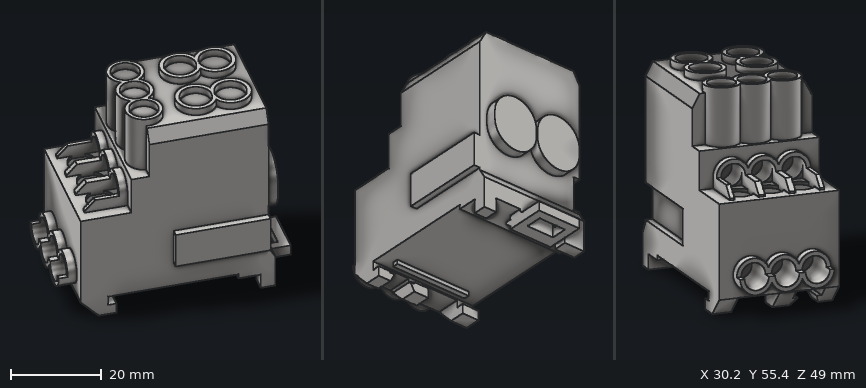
import cadquery as cq


BODY_WIDTH = 28.55
BACK_Y = 43.15
FLANGE_BACK_Y = 44.7
TOP_Z = 47.25
STEP_Y = 15.8
UPPER_LEDGE_Z = 35.4
MIDDLE_WALL_Y = 11.65
LOWER_LEDGE_Z = 26.4
TOP_CHAMFER_WIDTH = 1.8
TOP_CHAMFER_HEIGHT = 3.2

UNDERSIDE_Z = 4.7
FOOT_CHAMFER_Z = 4.4
FOOT_TIP_Y = 4.15
HOOK_TIP_Y = 8.25
HOOK_ROOT_Y = 6.3
HOOK_TOP_Z = 2.5
PAD_Z = 3.6
PAD_FRONT_Y = 36.25
REAR_FOOT_FRONT_Y = 41.35
FLANGE_SLOPE_BOTTOM_Z = 7.85
FLANGE_SLOPE_TOP_Z = 10.4

LEFT_FOOT_INNER_X = -9.75
MIDDLE_FOOT_LEFT_X = 0.05
MIDDLE_FOOT_RIGHT_X = 4.1
RIGHT_FOOT_INNER_X = 10.9
REAR_LEFT_FOOT_INNER_X = -8.75
BARB_REACH = 1.15
BARB_HEIGHT = 2.15
BAR_RIGHT_X = 10.6
BAR_FRONT_Y = 8.8
BAR_BACK_Y = 10.25

LATCH_LEFT_X = -7.4
LATCH_RIGHT_X = 4.05
LATCH_BACK_Y = 51.25
LATCH_RAMP_Z = 3.05
LATCH_NOSE_Y = 39.95
LATCH_NOSE_TOP_Z = 1.95
LATCH_NOSE_BOTTOM_Z = 0.8
LATCH_WINDOW_BACK_Y = 48.85
LATCH_ARM_WIDTH = 2.1

TAB_THICKNESS = 1.65
TAB_FRONT_Y = 21.35
TAB_BOTTOM_Z = 11.0
TAB_TOP_Z = 19.55

TERMINAL_CENTER_X = 0.2
TERMINAL_PITCH = 7.25
TERMINAL_XS = [TERMINAL_CENTER_X + i * TERMINAL_PITCH for i in (-1, 0, 1)]
BORE_RADIUS = 2.9
SLEEVE_RADIUS = 3.95

LOWER_BORE_Z = 9.8
LOWER_COLLAR_LENGTH = 2.1
LOWER_LIP_LENGTH = 4.15
LOWER_BORE_DEPTH = 9.95

UPPER_BORE_Z = 29.35
UPPER_COLLAR_LENGTH = 1.95
UPPER_BORE_DEPTH = 7.75

RIB_TIP_Y = 1.8
RIB_SLOPE_Y = 4.15
RIB_TIP_Z = 26.85
WELL_RADIUS = 3.25
WELL_Y = 6.6
WELL_DEPTH = 0.8

TUBE_TOP_Z = 49.05
FRONT_TUBE_Y = 16.5
FRONT_TUBE_RADIUS = 4.2
FRONT_TUBE_BORE_RADIUS = 3.25
REAR_TUBE_RADIUS = 4.65
REAR_TUBE_BORE_RADIUS = 3.6
REAR_TUBE_FRONT_Y = 28.75
REAR_TUBE_PITCH_Y = 8.0
REAR_TUBE_PITCH_X = 12.25
REAR_TUBE_XS = [TERMINAL_CENTER_X + side * REAR_TUBE_PITCH_X / 2 for side in (-1, 1)]

BACK_BOSS_RADIUS = 5.95
BACK_BOSS_HEIGHT = 13.85
BACK_BOSS_BOTTOM_Z = 17.45
BACK_BOSS_LENGTH = 2.75

LEFT_X = -BODY_WIDTH / 2
RIGHT_X = BODY_WIDTH / 2


def block(x0, x1, y0, y1, z0, z1):
    """Box given by its limits along each axis."""
    return cq.Workplane("XY").box(x1 - x0, y1 - y0, z1 - z0, centered=False).translate((x0, y0, z0))


def side_profile(points, x0, x1):
    """Prism of a (y, z) outline between two X positions."""
    return cq.Workplane("YZ").polyline(points).close().extrude(x1 - x0).translate((x0, 0, 0))


def front_profile(points, y0, y1):
    """Prism of an (x, z) outline between two Y positions."""
    return cq.Workplane("XZ").polyline(points).close().extrude(y0 - y1).translate((0, y0, 0))


def rod_along_y(x, z, radius, y0, y1):
    return cq.Workplane("XZ").center(x, z).circle(radius).extrude(y0 - y1).translate((0, y0, 0))


def rod_along_z(x, y, radius, z0, z1):
    return cq.Workplane("XY").center(x, y).circle(radius).extrude(z1 - z0).translate((0, 0, z0))


def merged(shapes):
    total = shapes[0]
    for shape in shapes[1:]:
        total = total.union(shape)
    return total


def make_body():
    body = side_profile(
        [
            (FOOT_TIP_Y, 0),
            (0, FOOT_CHAMFER_Z),
            (0, LOWER_LEDGE_Z),
            (MIDDLE_WALL_Y, LOWER_LEDGE_Z),
            (MIDDLE_WALL_Y, UPPER_LEDGE_Z),
            (STEP_Y, UPPER_LEDGE_Z),
            (STEP_Y, TOP_Z),
            (BACK_Y, TOP_Z),
            (BACK_Y, FLANGE_SLOPE_TOP_Z),
            (FLANGE_BACK_Y, FLANGE_SLOPE_BOTTOM_Z),
            (FLANGE_BACK_Y, 0),
            (REAR_FOOT_FRONT_Y, 0),
            (REAR_FOOT_FRONT_Y, PAD_Z),
            (PAD_FRONT_Y, PAD_Z),
            (PAD_FRONT_Y, UNDERSIDE_Z),
            (HOOK_ROOT_Y, UNDERSIDE_Z),
            (HOOK_ROOT_Y, HOOK_TOP_Z),
            (HOOK_TIP_Y, HOOK_TOP_Z),
            (HOOK_TIP_Y, 0),
        ],
        LEFT_X,
        RIGHT_X,
    )
    for edge_x, inward in ((LEFT_X, 1), (RIGHT_X, -1)):
        body = body.cut(
            front_profile(
                [
                    (edge_x, TOP_Z - TOP_CHAMFER_HEIGHT),
                    (edge_x, TOP_Z),
                    (edge_x + inward * TOP_CHAMFER_WIDTH, TOP_Z),
                ],
                STEP_Y,
                BACK_Y,
            )
        )
    return body


def make_foot_gaps():
    """Gaps that split the front and rear feet."""
    front_left = block(LEFT_FOOT_INNER_X, MIDDLE_FOOT_LEFT_X, 0, HOOK_TIP_Y, 0, FOOT_CHAMFER_Z)
    barbed_left_x = MIDDLE_FOOT_RIGHT_X
    barbed_right_x = RIGHT_FOOT_INNER_X
    front_right = front_profile(
        [
            (barbed_left_x, 0),
            (barbed_left_x + BARB_REACH, BARB_HEIGHT),
            (barbed_left_x, BARB_HEIGHT),
            (barbed_left_x, FOOT_CHAMFER_Z),
            (barbed_right_x, FOOT_CHAMFER_Z),
            (barbed_right_x, BARB_HEIGHT),
            (barbed_right_x - BARB_REACH, BARB_HEIGHT),
            (barbed_right_x, 0),
        ],
        0,
        HOOK_TIP_Y,
    )
    rear = block(
        REAR_LEFT_FOOT_INNER_X, RIGHT_FOOT_INNER_X, REAR_FOOT_FRONT_Y, FLANGE_BACK_Y, 0, PAD_Z
    )
    return merged([front_left, front_right, rear])


def make_rail_bar():
    """Small cross bar that rests on the rail behind the front feet."""
    return block(LEFT_FOOT_INNER_X, BAR_RIGHT_X, BAR_FRONT_Y, BAR_BACK_Y, PAD_Z, UNDERSIDE_Z)


def make_latch():
    ramp_end_y = FLANGE_BACK_Y + LATCH_RAMP_Z - HOOK_TOP_Z
    latch = side_profile(
        [
            (REAR_FOOT_FRONT_Y, 0),
            (REAR_FOOT_FRONT_Y, LATCH_NOSE_BOTTOM_Z),
            (LATCH_NOSE_Y, LATCH_NOSE_TOP_Z),
            (LATCH_NOSE_Y, HOOK_TOP_Z),
            (REAR_FOOT_FRONT_Y, HOOK_TOP_Z),
            (REAR_FOOT_FRONT_Y, PAD_Z),
            (FLANGE_BACK_Y, PAD_Z),
            (FLANGE_BACK_Y, LATCH_RAMP_Z),
            (ramp_end_y, HOOK_TOP_Z),
            (LATCH_BACK_Y, HOOK_TOP_Z),
            (LATCH_BACK_Y, 0),
        ],
        LATCH_LEFT_X,
        LATCH_RIGHT_X,
    )
    window = block(
        LATCH_LEFT_X + LATCH_ARM_WIDTH,
        LATCH_RIGHT_X - LATCH_ARM_WIDTH,
        FLANGE_BACK_Y,
        LATCH_WINDOW_BACK_Y,
        0,
        PAD_Z,
    )
    return latch.cut(window)


def make_side_slab(x0):
    """Slab used both as the side tab and as its matching pocket."""
    return block(x0, x0 + TAB_THICKNESS, TAB_FRONT_Y, BACK_Y, TAB_BOTTOM_Z, TAB_TOP_Z)


def make_lower_sleeves():
    """Front sleeves: full collars, with only the lower half reaching out as a lip."""
    sleeves = merged(
        [rod_along_y(x, LOWER_BORE_Z, SLEEVE_RADIUS, -LOWER_LIP_LENGTH, 0) for x in TERMINAL_XS]
    )
    upper_half = block(
        LEFT_X,
        RIGHT_X,
        -LOWER_LIP_LENGTH,
        -LOWER_COLLAR_LENGTH,
        LOWER_BORE_Z,
        LOWER_BORE_Z + SLEEVE_RADIUS,
    )
    return sleeves.cut(upper_half)


def make_upper_sleeves():
    """Half-round collars on the middle wall, carried by the ribs below them."""
    front_y = MIDDLE_WALL_Y - UPPER_COLLAR_LENGTH
    sleeves = merged(
        [rod_along_y(x, UPPER_BORE_Z, SLEEVE_RADIUS, front_y, MIDDLE_WALL_Y) for x in TERMINAL_XS]
    )
    lower_half = block(
        LEFT_X, RIGHT_X, front_y, MIDDLE_WALL_Y, UPPER_BORE_Z - SLEEVE_RADIUS, UPPER_BORE_Z
    )
    return sleeves.cut(lower_half)


def make_bores():
    """Wire bores through the lower and upper sleeves."""
    lower_end_y = -LOWER_LIP_LENGTH + LOWER_BORE_DEPTH
    upper_front_y = MIDDLE_WALL_Y - UPPER_COLLAR_LENGTH
    bores = []
    for x in TERMINAL_XS:
        bores.append(rod_along_y(x, LOWER_BORE_Z, BORE_RADIUS, -LOWER_LIP_LENGTH, lower_end_y))
        upper = rod_along_y(
            x, UPPER_BORE_Z, BORE_RADIUS, upper_front_y, upper_front_y + UPPER_BORE_DEPTH
        )
        bores.append(upper)
    return merged(bores)


def make_wells():
    """Shallow round wells in the lower ledge."""
    well_bottom_z = LOWER_LEDGE_Z - WELL_DEPTH
    return merged(
        [rod_along_z(x, WELL_Y, WELL_RADIUS, well_bottom_z, LOWER_LEDGE_Z) for x in TERMINAL_XS]
    )


def make_ribs():
    """Ribs that part the terminals on the lower ledge, down to the well bottoms."""
    left_edges = [TERMINAL_XS[0] - SLEEVE_RADIUS] + [x + BORE_RADIUS for x in TERMINAL_XS]
    right_edges = [x - BORE_RADIUS for x in TERMINAL_XS] + [TERMINAL_XS[-1] + SLEEVE_RADIUS]
    outline = [
        (RIB_TIP_Y, LOWER_LEDGE_Z - WELL_DEPTH),
        (RIB_TIP_Y, RIB_TIP_Z),
        (RIB_SLOPE_Y, UPPER_BORE_Z),
        (MIDDLE_WALL_Y, UPPER_BORE_Z),
        (MIDDLE_WALL_Y, LOWER_LEDGE_Z - WELL_DEPTH),
    ]
    return merged([side_profile(outline, x0, x1) for x0, x1 in zip(left_edges, right_edges)])


def make_screw_columns(front_radius, front_bottom_z, rear_radius):
    """Upright cylinders at every screw position, all ending at the tube rims."""
    columns = [
        rod_along_z(x, FRONT_TUBE_Y, front_radius, front_bottom_z, TUBE_TOP_Z) for x in TERMINAL_XS
    ]
    for x in REAR_TUBE_XS:
        for y in (REAR_TUBE_FRONT_Y, REAR_TUBE_FRONT_Y + REAR_TUBE_PITCH_Y):
            columns.append(rod_along_z(x, y, rear_radius, TOP_Z, TUBE_TOP_Z))
    return merged(columns)


def make_screw_tubes():
    return make_screw_columns(FRONT_TUBE_RADIUS, UPPER_LEDGE_Z, REAR_TUBE_RADIUS)


def make_screw_bores():
    """Bores in the screw tubes, with floors level with the top face."""
    return make_screw_columns(FRONT_TUBE_BORE_RADIUS, TOP_Z, REAR_TUBE_BORE_RADIUS)


def make_back_bosses():
    low_z = BACK_BOSS_BOTTOM_Z + BACK_BOSS_RADIUS
    high_z = BACK_BOSS_BOTTOM_Z + BACK_BOSS_HEIGHT - BACK_BOSS_RADIUS
    end_y = BACK_Y + BACK_BOSS_LENGTH
    parts = []
    for x in REAR_TUBE_XS:
        parts.append(rod_along_y(x, low_z, BACK_BOSS_RADIUS, BACK_Y, end_y))
        parts.append(rod_along_y(x, high_z, BACK_BOSS_RADIUS, BACK_Y, end_y))
        parts.append(
            block(x - BACK_BOSS_RADIUS, x + BACK_BOSS_RADIUS, BACK_Y, end_y, low_z, high_z)
        )
    return merged(parts)


result = (
    make_body()
    .cut(make_foot_gaps())
    .cut(make_side_slab(LEFT_X))
    .union(make_side_slab(RIGHT_X))
    .union(make_rail_bar())
    .union(make_latch())
    .union(make_lower_sleeves())
    .union(make_upper_sleeves())
    .cut(make_bores())
    .cut(make_wells())
    .union(make_ribs())
    .union(make_screw_tubes())
    .cut(make_screw_bores())
    .union(make_back_bosses())
)